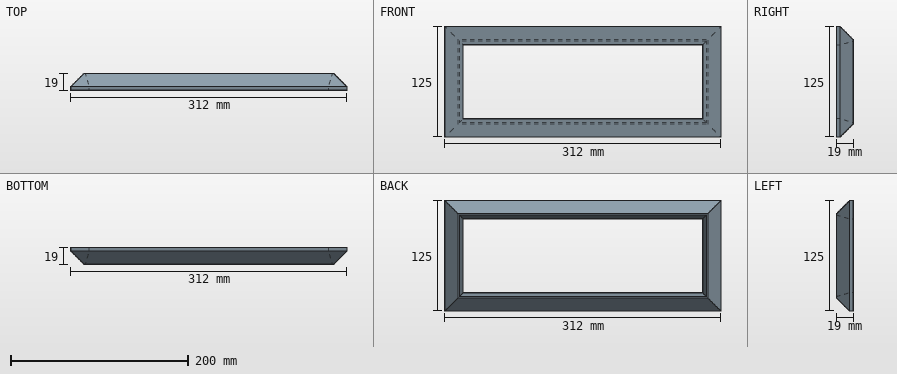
import cadquery as cq

length = 312.0
depth = 19.0
height = 125.0

plate_depth = 4.0
rim_depth = depth - plate_depth
rim_inset = rim_depth

border = 21.0
window_flare = 4.5


def rectangular_frustum(inset_front, inset_back, y_front, y_back):
    """Solid between two rectangles, each inset evenly from the frame outline."""
    return (
        cq.Workplane("XZ", origin=(0, y_front, 0))
        .rect(length - 2 * inset_front, height - 2 * inset_front)
        .workplane(offset=y_front - y_back)
        .rect(length - 2 * inset_back, height - 2 * inset_back)
        .loft(ruled=True)
    )


plate = rectangular_frustum(0, 0, 0, plate_depth)
rim = rectangular_frustum(0, rim_inset, plate_depth, depth)
body = plate.union(rim)

plate_window = rectangular_frustum(border, border, 0, plate_depth)
rim_window = rectangular_frustum(border, border - window_flare, plate_depth, depth)

result = body.cut(plate_window).cut(rim_window)